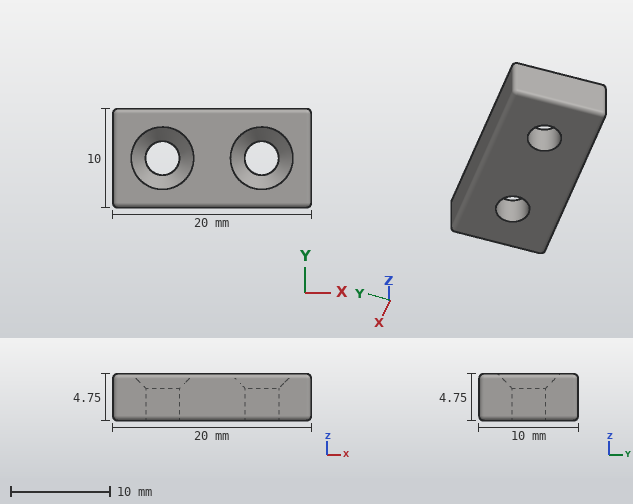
import cadquery as cq

length = 20.0
width = 10.0
height = 4.75
edge_radius = 0.5

hole_spacing = 10.0
hole_diameter = 3.4
countersink_diameter = 6.3
countersink_angle = 90.0


def rounded_block():
    """Block centred on the Z axis, resting on Z = 0, with every edge rounded."""
    block = cq.Workplane("XY").box(length, width, height, centered=(True, True, False))
    return block.edges().fillet(edge_radius)


def add_screw_holes(body):
    """Through holes countersunk from the top face."""
    centers = [(-hole_spacing / 2, 0), (hole_spacing / 2, 0)]
    return (
        body.faces(">Z")
        .workplane(origin=(0, 0, height))
        .pushPoints(centers)
        .cskHole(hole_diameter, countersink_diameter, countersink_angle)
    )


result = add_screw_holes(rounded_block())